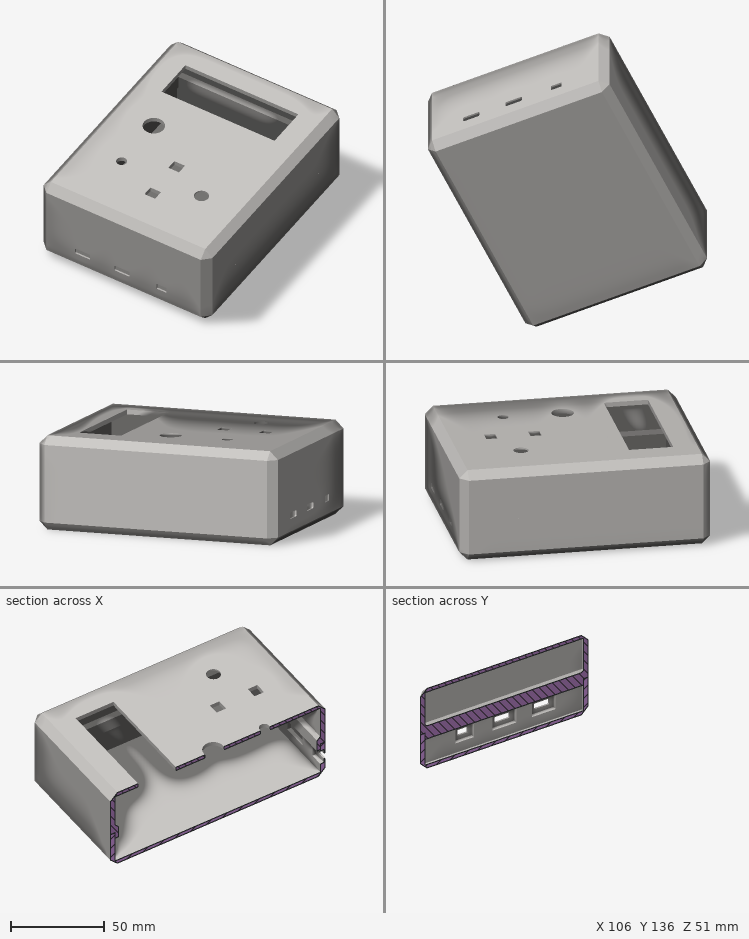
import cadquery as cq

WIDTH = 106.0
LENGTH = 136.0
HEIGHT = 51.0
EDGE_CHAMFER = 4.5
WALL = 3.3
PLATE = 2.6
SPLIT_Z = 23.0

LIP_THICKNESS = 2.0
LIP_DEPTH = 4.4
LIP_RISE = 3.3

WINDOW_WIDTH = 71.0
WINDOW_LENGTH = 24.0
WINDOW_Y = 38.5

CONTROL_LEFT_X = -25.0
CONTROL_RIGHT_X = 25.2
CONTROL_ROW_Y = -30.0
ROUND_HOLES = [
    (CONTROL_LEFT_X, 2.2, 12.0),
    (CONTROL_LEFT_X, CONTROL_ROW_Y, 5.8),
    (CONTROL_RIGHT_X, CONTROL_ROW_Y, 8.0),
]

BUTTON_WIDTH = 6.7
BUTTON_LENGTH = 6.0
BUTTON_X = 2.0
BUTTON_OFFSET_Y = 12.0

RECESS_DIAMETER = 20.0
RECESS_SKIN = 1.0

PORT_HEIGHT = 3.5
PORT_Z = 13.0
PORT_CORNER = 0.8
USB_WIDTH = 9.5
USB_XS = (-25.7, -1.0)
SQUARE_PORT_WIDTH = 6.3
SQUARE_PORT_X = 24.0
PORT_SKIN = 1.0
PORT_MARGIN = 2.7

INNER_WIDTH = WIDTH - 2 * WALL
INNER_LENGTH = LENGTH - 2 * WALL


def block(width, length, bottom, top):
    """Box centred on the Z axis between two heights."""
    return cq.Workplane("XY").workplane(offset=bottom).rect(width, length).extrude(top - bottom)


def outer_shell():
    """Enclosure envelope with every edge chamfered."""
    return block(WIDTH, LENGTH, 0, HEIGHT).edges().chamfer(EDGE_CHAMFER)


def front_wall_block(width, height, x, start, end):
    """Box centred on a port, between two depths behind the front face."""
    depth = end - start
    return (
        cq.Workplane("XY")
        .box(width, depth, height)
        .translate((x, start + depth / 2 - LENGTH / 2, PORT_Z))
    )


def port_recess(x, width):
    """Inner recess that thins the wall around a port."""
    margin = 2 * PORT_MARGIN
    return front_wall_block(width + margin, PORT_HEIGHT + margin, x, PORT_SKIN, WALL)


def make_base():
    base = outer_shell().intersect(block(WIDTH, LENGTH, 0, SPLIT_Z))
    base = base.cut(block(INNER_WIDTH, INNER_LENGTH, PLATE, SPLIT_Z))
    for x in USB_XS:
        opening = front_wall_block(USB_WIDTH, PORT_HEIGHT, x, 0, WALL).edges("|Y").fillet(PORT_CORNER)
        base = base.cut(opening).cut(port_recess(x, USB_WIDTH))
    opening = front_wall_block(SQUARE_PORT_WIDTH, PORT_HEIGHT, SQUARE_PORT_X, 0, WALL)
    return base.cut(opening).cut(port_recess(SQUARE_PORT_X, SQUARE_PORT_WIDTH))


def lip_ring():
    """Lip with a 45 degree shoulder that runs out into the lid wall."""
    lip_bottom = SPLIT_Z - LIP_DEPTH
    shoulder = SPLIT_Z + LIP_RISE
    bore_width = INNER_WIDTH - 2 * LIP_THICKNESS
    bore_length = INNER_LENGTH - 2 * LIP_THICKNESS
    ring = block(INNER_WIDTH, INNER_LENGTH, lip_bottom, shoulder + LIP_THICKNESS)
    ring = ring.cut(block(bore_width, bore_length, lip_bottom, shoulder))
    funnel = (
        cq.Workplane("XY")
        .workplane(offset=shoulder)
        .rect(bore_width, bore_length)
        .workplane(offset=LIP_THICKNESS)
        .rect(INNER_WIDTH, INNER_LENGTH)
        .loft(ruled=True)
    )
    return ring.cut(funnel)


def plate_plane(x, y):
    """Workplane on the underside of the top plate, centred on an opening."""
    return cq.Workplane("XY", origin=(x, y, HEIGHT - PLATE))


def make_lid():
    lid = outer_shell().intersect(block(WIDTH, LENGTH, SPLIT_Z, HEIGHT))
    lid = lid.cut(block(INNER_WIDTH, INNER_LENGTH, SPLIT_Z, HEIGHT - PLATE))
    lid = lid.union(lip_ring())

    lid = lid.cut(plate_plane(0, WINDOW_Y).rect(WINDOW_WIDTH, WINDOW_LENGTH).extrude(PLATE))
    for x, y, diameter in ROUND_HOLES:
        lid = lid.cut(plate_plane(x, y).circle(diameter / 2).extrude(PLATE))
    for side in (-1, 1):
        y = CONTROL_ROW_Y + side * BUTTON_OFFSET_Y
        lid = lid.cut(plate_plane(BUTTON_X, y).rect(BUTTON_WIDTH, BUTTON_LENGTH).extrude(PLATE))

    recess = plate_plane(CONTROL_RIGHT_X, CONTROL_ROW_Y).circle(RECESS_DIAMETER / 2)
    return lid.cut(recess.extrude(PLATE - RECESS_SKIN))


base = make_base()
lid = make_lid()
result = cq.Compound.makeCompound([base.val(), lid.val()])